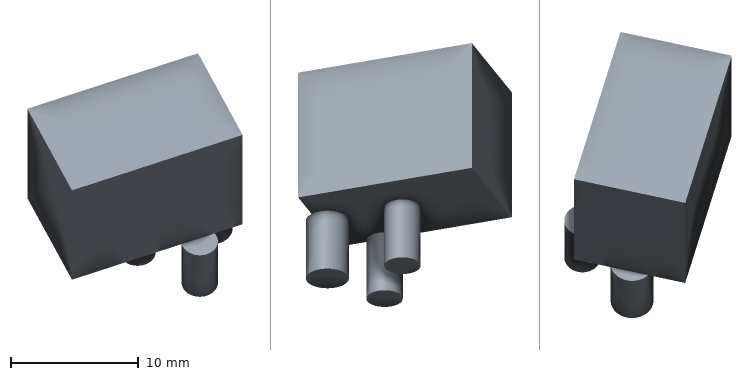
import cadquery as cq

HOUSING_WIDTH = 9.0
HOUSING_DEPTH = 14.5
HOUSING_HEIGHT = 11.0

PIN_LENGTH = 16.1 - HOUSING_HEIGHT
THICK_PIN_DIAMETER = 3.36
THIN_PIN_DIAMETER = 2.85

MIDDLE_X = HOUSING_WIDTH / 2
THICK_PIN_AXIS = (MIDDLE_X, 13.73)
THIN_PIN_AXES = [
    (MIDDLE_X, 7.47),
    (9.29, 10.74),
]


def make_housing():
    return cq.Workplane("XY").box(
        HOUSING_WIDTH, HOUSING_DEPTH, HOUSING_HEIGHT, centered=False
    )


def make_pin(axis, diameter):
    """Round pin reaching down from the underside of the housing."""
    return cq.Workplane("XY").center(*axis).circle(diameter / 2).extrude(-PIN_LENGTH)


housing = make_housing()
thick_pin = make_pin(THICK_PIN_AXIS, THICK_PIN_DIAMETER)
thin_pins = [make_pin(axis, THIN_PIN_DIAMETER) for axis in THIN_PIN_AXES]

result = cq.Compound.makeCompound(
    [housing.val(), thick_pin.val(), *[pin.val() for pin in thin_pins]]
)